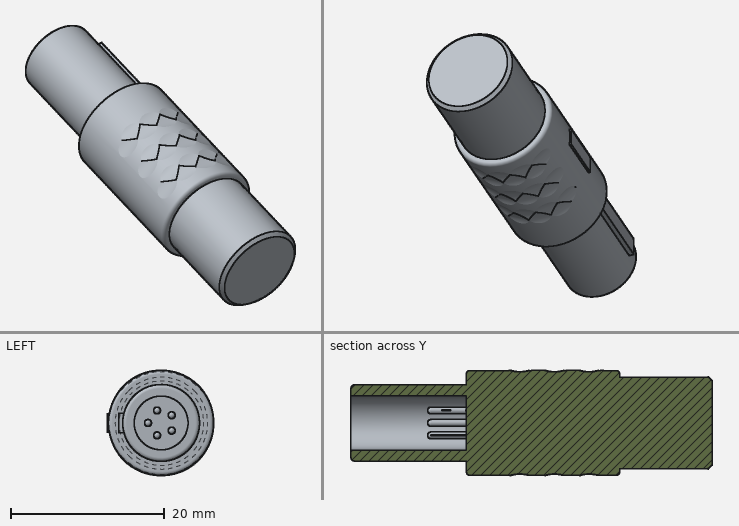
import cadquery as cq
import math


total_length = 47.0
plug_radius = 5.0
sleeve_radius = 6.85
tail_radius = 6.0
sleeve_start = 15.0
sleeve_end = 35.0
edge_round = 0.5
tail_chamfer = 0.5

socket_radius = 3.5
socket_depth = 15.0
pin_count = 5
pin_radius = 0.45
pin_circle_radius = 1.7
pin_length = 5.0

key_start = 2.5
key_width = 2.5
key_top = 5.5

mark_start = 21.6
mark_length = 6.8
mark_width = 2.4
mark_top = 7.0

grip_side_angles = (0, 180)
band_count = 3
band_pitch = 4.5
first_band_x = 22.5
stagger = 0.5
dimple_step_angle = 13.2
dimple_steps_each_way = 3
dimple_cutter_radius = 4.2
dimple_depth = 0.19
dimple_cutter_length = 6.0


def disc(start, end, radius):
    """Cylinder on the X axis between two X positions."""
    outline = cq.Workplane("XY").moveTo(start, 0).lineTo(start, radius).lineTo(end, radius).lineTo(end, 0)
    return outline.close().revolve(360, (0, 0, 0), (1, 0, 0))


def make_body():
    plug = disc(0, sleeve_start, plug_radius).faces("<X").edges().fillet(edge_round)
    sleeve = disc(sleeve_start, sleeve_end, sleeve_radius).edges("%CIRCLE").fillet(edge_round)
    tail = disc(sleeve_end, total_length, tail_radius).faces(">X").edges().chamfer(tail_chamfer)
    return plug.union(sleeve).union(tail)


def make_side_block(start, length, width, top):
    """Rectangular block that rises from the body axis to the given +Y height."""
    block = cq.Workplane("XY").box(length, top, width, centered=(False, False, True))
    return block.translate((start, 0, 0))


def make_pin(y, z):
    """Contact pin with a domed tip, standing on the socket floor."""
    tip_centre = socket_depth - pin_length + pin_radius
    shank = disc(tip_centre, socket_depth, pin_radius)
    dome = cq.Workplane("XY").sphere(pin_radius).translate((tip_centre, 0, 0))
    return shank.union(dome).translate((0, y, z))


def make_dimple_cutter(x, angle):
    """Cylinder lying tangent to the sleeve, turned about X by an angle from +Z."""
    axis_height = sleeve_radius - dimple_depth + dimple_cutter_radius
    cutter = (
        cq.Workplane("XZ")
        .center(x, axis_height)
        .circle(dimple_cutter_radius)
        .extrude(dimple_cutter_length / 2, both=True)
    )
    return cutter.rotate((0, 0, 0), (1, 0, 0), angle)


def make_dimple_band(band_x, side_angle):
    """Cutters of one staggered band, centred on the given angle from +Z."""
    cutters = []
    for step in range(-dimple_steps_each_way, dimple_steps_each_way + 1):
        offset = stagger if step % 2 else -stagger
        cutters.append(make_dimple_cutter(band_x + offset, side_angle + step * dimple_step_angle))
    return cutters


def cut_dimples(body):
    cut_body = body.val()
    for side_angle in grip_side_angles:
        for band in range(band_count):
            cutters = make_dimple_band(first_band_x + band * band_pitch, side_angle)
            cut_body = cut_body.cut(*[cutter.val() for cutter in cutters])
    return cq.Workplane(obj=cut_body)


def add_pins(body):
    """Pins spaced evenly on a circle, the first one towards the key."""
    for pin_index in range(pin_count):
        pin_angle = 2 * math.pi * pin_index / pin_count
        pin_y = pin_circle_radius * math.cos(pin_angle)
        pin_z = pin_circle_radius * math.sin(pin_angle)
        body = body.union(make_pin(pin_y, pin_z))
    return body


key = make_side_block(key_start, sleeve_start - key_start, key_width, key_top)
mark = make_side_block(mark_start, mark_length, mark_width, mark_top)
socket = disc(0, socket_depth, socket_radius)

grip_body = cut_dimples(make_body())
result = add_pins(grip_body.union(key).union(mark).cut(socket))